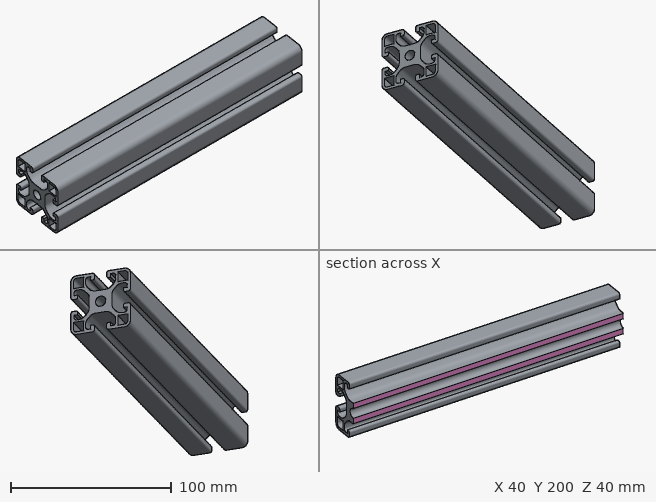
import cadquery as cq
import math

side = 40.0
length = 200.0
corner_radius = 4.0
bore_diameter = 6.8

slot_opening = 8.0
slot_width = 20.2
flange_thickness = 2.2
lip_depth = 4.7
lip_width = 2.7
core_size = 15.2
web_thickness = 3.0

lip_outer_radius = 1.6
lip_inner_radius = 1.2
slot_corner_radius = 2.0
web_radius = 5.0

pocket_wall = 1.8
pocket_size = 6.7
pocket_corner_radius = corner_radius - pocket_wall

half_side = side / 2
opening_x = slot_opening / 2
hook_x = opening_x + lip_width
wall_x = slot_width / 2
lip_z = half_side - lip_depth
ceiling_z = half_side - flange_thickness
floor_z = core_size / 2
web_offset = web_thickness / 2 * math.sqrt(2)

mouth_edge = (opening_x, half_side)
lip_tip = (opening_x, lip_z)
hook_tip = (hook_x, lip_z)
hook_root = (hook_x, ceiling_z)
ceiling_corner = (wall_x, ceiling_z)
wall_foot = (wall_x, wall_x + web_offset)
web_foot = (floor_z - web_offset, floor_z)
slot_half = [mouth_edge, lip_tip, hook_tip, hook_root, ceiling_corner, wall_foot, web_foot]

slot_rounding = [
    (mouth_edge, lip_outer_radius),
    (lip_tip, lip_inner_radius),
    (ceiling_corner, slot_corner_radius),
    (wall_foot, web_radius),
    (web_foot, web_radius),
]
quarter_turns = [0, 90, 180, 270]


def profile_plane():
    """XZ sketch plane at the +Y end of the bar; extrusions from it run toward -Y."""
    return cq.Workplane("XZ", origin=(0, length / 2, 0))


def turned(shape, angle):
    """Shape rotated about the Y axis of the extrusion."""
    return shape.rotate((0, 0, 0), (0, 1, 0), angle)


def mirrored(point):
    return (-point[0], point[1])


def make_bar():
    return profile_plane().rect(side, side).extrude(length).edges("|Y").fillet(corner_radius)


def make_slot():
    outline = slot_half + [mirrored(point) for point in reversed(slot_half)]
    return profile_plane().polyline(outline).close().extrude(length)


def make_pocket():
    center = half_side - pocket_wall - pocket_size / 2
    pocket = profile_plane().center(center, center).rect(pocket_size, pocket_size).extrude(length)
    return pocket.edges("|Y and >X and >Z").fillet(pocket_corner_radius)


def round_slot_corners(body, corner, radius):
    """Fillet the same slot corner on both sides of all four slots."""
    edges = []
    for angle in quarter_turns:
        for x, z in (corner, mirrored(corner)):
            spot = turned(cq.Vertex.makeVertex(x, 0, z), angle).toTuple()
            edges += body.edges("|Y").edges(cq.NearestToPointSelector(spot)).vals()
    return body.newObject(edges).fillet(radius)


def make_profile():
    body = make_bar()
    slot = make_slot()
    pocket = make_pocket()
    for angle in quarter_turns:
        body = body.cut(turned(slot, angle)).cut(turned(pocket, angle))
    for corner, radius in slot_rounding:
        body = round_slot_corners(body, corner, radius)
    bore = profile_plane().circle(bore_diameter / 2).extrude(length)
    return body.cut(bore)


result = make_profile()